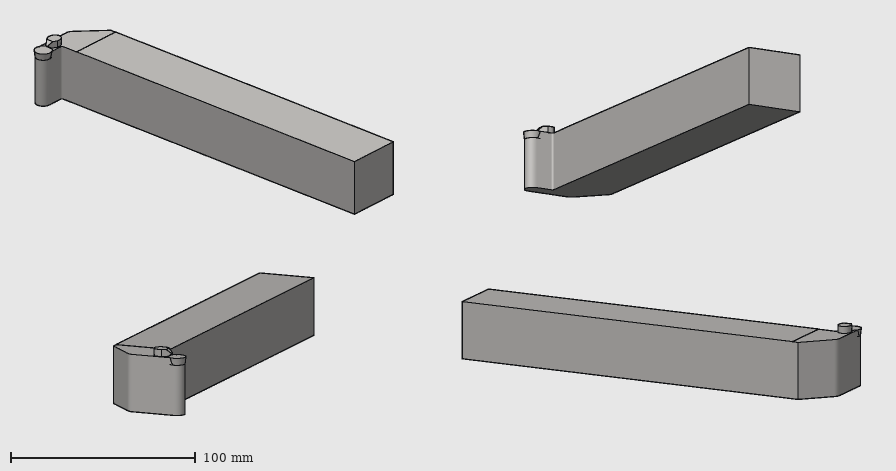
import cadquery as cq
import math

length = 220.0
shank_size = 32.0
total_width = 47.0
total_height = 35.6

insert_diameter = 10.0
insert_radius = insert_diameter / 2
insert_thickness = 4.0
clearance_angle = 7.0
insert_bottom_radius = insert_radius - insert_thickness * math.tan(math.radians(clearance_angle))
insert_x = insert_radius
insert_y = insert_radius

blade_half_width = insert_bottom_radius
blade_left = insert_x - blade_half_width
blade_right = insert_x + blade_half_width
shank_front = total_width - shank_size
blade_root_fillet = 1.0
corner_chamfer = 16.0
corner_fillet = 4.6
head_length = 20.0
head_step = 0.1
head_height = shank_size - head_step

clamp_height = total_height - head_height
clamp_radius = 3.5
clamp_center_y = 14.5
clamp_taper_y = 12.5
clamp_slope_y = 10.3
clamp_undercut_y = 9.2
clamp_tip_y = 7.7
clamp_tip_half_width = 0.7
clamp_tip_height = 1.5


def make_insert():
    """Conical round insert with its top flush with the head."""
    return (
        cq.Workplane("XY", origin=(insert_x, insert_y, head_height - insert_thickness))
        .circle(insert_bottom_radius)
        .workplane(offset=insert_thickness)
        .circle(insert_radius)
        .loft(ruled=True)
    )


def make_shank_and_blade():
    """Square shank with a chamfered, slightly lowered head and a round-nosed blade."""
    body = (
        cq.Workplane("XY")
        .moveTo(blade_left, insert_y)
        .threePointArc((insert_x, insert_y - blade_half_width), (blade_right, insert_y))
        .lineTo(blade_right, shank_front)
        .lineTo(length, shank_front)
        .lineTo(length, total_width)
        .lineTo(blade_left + corner_chamfer, total_width)
        .lineTo(blade_left, total_width - corner_chamfer)
        .close()
        .extrude(shank_size)
    )
    mid_height = shank_size / 2
    blade_root = cq.selectors.NearestToPointSelector((blade_right, shank_front, mid_height))
    body = body.edges(blade_root).fillet(blade_root_fillet)
    head_corner = cq.selectors.NearestToPointSelector(
        (blade_left, total_width - corner_chamfer, mid_height)
    )
    body = body.edges(head_corner).fillet(corner_fillet)
    step_cut = (
        cq.Workplane("XY", origin=(0, 0, head_height))
        .rect(head_length, total_width, centered=False)
        .extrude(head_step)
    )
    return body.cut(step_cut)


def make_clamp_nose():
    """Round-backed, tapered clamp with a sloped and undercut tip."""
    left = insert_x - clamp_radius
    right = insert_x + clamp_radius
    back_y = clamp_center_y + clamp_radius
    plan = (
        cq.Workplane("XY", origin=(0, 0, head_height))
        .moveTo(right, clamp_center_y)
        .threePointArc((insert_x, back_y), (left, clamp_center_y))
        .lineTo(left, clamp_taper_y)
        .lineTo(insert_x - clamp_tip_half_width, clamp_tip_y)
        .lineTo(insert_x + clamp_tip_half_width, clamp_tip_y)
        .lineTo(right, clamp_taper_y)
        .close()
        .extrude(clamp_height)
    )
    side_profile = (
        cq.Workplane("YZ", origin=(left, 0, head_height))
        .polyline([
            (back_y, 0),
            (back_y, clamp_height),
            (clamp_slope_y, clamp_height),
            (clamp_tip_y, clamp_tip_height),
            (clamp_undercut_y, 0),
        ])
        .close()
        .extrude(2 * clamp_radius)
    )
    return plan.intersect(side_profile)


def make_holder(insert):
    """Shank, blade and clamp in one piece, with a seat matching the insert."""
    return make_shank_and_blade().cut(insert).union(make_clamp_nose())


insert = make_insert()
holder = make_holder(insert)

result = cq.Compound.makeCompound([*holder.solids().vals(), insert.val()])